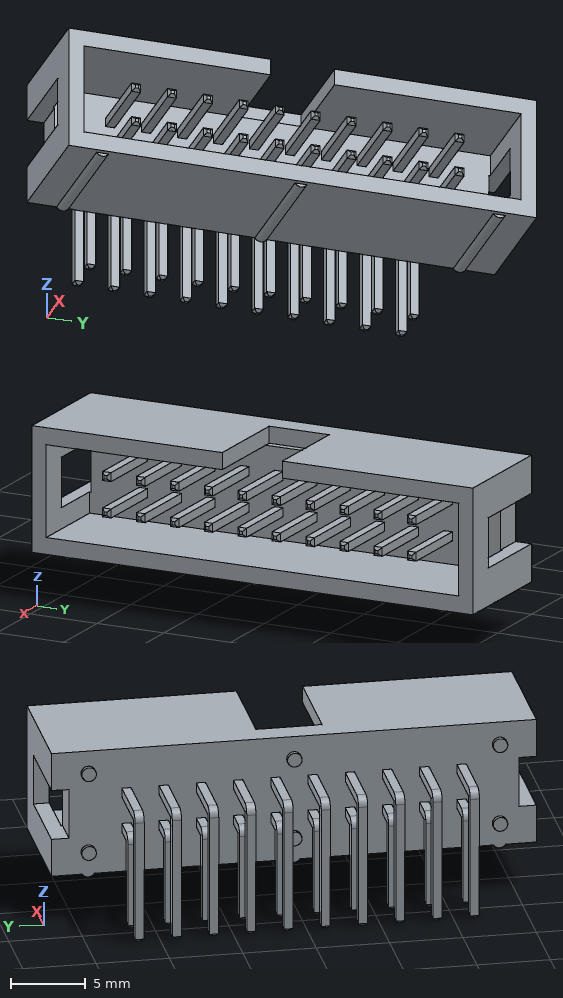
import cadquery as cq

total_depth = 13.55
total_length = 33.05
total_height = 12.1

housing_depth = 8.8
housing_height = 8.85
base_thickness = 2.3
side_wall = 1.2
end_wall = 1.1

end_slot_height = 3.5
end_slot_reach = 6.48
end_slot_depth = 1.2
key_slot_width = 4.5
key_slot_start = 1.8

pin_count = 10
row_span = 22.85
pitch = row_span / (pin_count - 1)
pin_size = 0.63
pin_bend_radius = 0.65
tip_chamfer = 0.2
pin_end_gap = 0.85

standoff_diameter = 1.0
standoff_height = 0.3
pad_offset_y = 14.02
pad_offset_z = 2.85
rib_length = 8.43
rib_drop = 0.23

housing_top = housing_height / 2
pin_bottom = housing_top - total_height
pin_back = housing_depth - total_depth
pin_front = housing_depth - pin_end_gap
pin_ys = [i * pitch - row_span / 2 for i in range(pin_count)]
standoff_ys = [-pad_offset_y, 0, pad_offset_y]


def block(x_min, x_max, y_size, z_min, z_max, y_centre=0):
    """Box given by its X and Z limits and its Y size and centre."""
    size = (x_max - x_min, y_size, z_max - z_min)
    centre = ((x_min + x_max) / 2, y_centre, (z_min + z_max) / 2)
    return cq.Workplane("XY").box(*size).translate(centre)


def make_housing():
    """Open-fronted shroud with a slot in each end and a keying slot on top."""
    body = block(0, housing_depth, total_length, -housing_top, housing_top)

    cavity_half = housing_top - side_wall
    cavity_length = total_length - 2 * end_wall
    body = body.cut(block(base_thickness, housing_depth, cavity_length, -cavity_half, cavity_half))

    slot_half = end_slot_height / 2
    for side in (-1, 1):
        slot_y = side * (total_length - end_slot_depth) / 2
        body = body.cut(block(0, end_slot_reach, end_slot_depth, -slot_half, slot_half, slot_y))

    return body.cut(block(key_slot_start, housing_depth, key_slot_width, cavity_half, housing_top))


def make_pin(y, z, tail_x):
    """Square right-angle pin: centred at height z, with the tail's rear face at tail_x."""
    top = z + pin_size / 2
    inner_x = tail_x + pin_size
    profile = (
        cq.Workplane("XZ", origin=(0, y + pin_size / 2, 0))
        .moveTo(tail_x, pin_bottom)
        .lineTo(tail_x, top - pin_bend_radius)
        .radiusArc((tail_x + pin_bend_radius, top), pin_bend_radius)
        .lineTo(pin_front, top)
        .lineTo(pin_front, top - pin_size)
        .lineTo(inner_x, top - pin_size)
        .lineTo(inner_x, pin_bottom)
        .close()
    )
    pin = profile.extrude(pin_size)
    return pin.faces(">X or <Z").chamfer(tip_chamfer)


def make_standoffs():
    """Round pads on the back face and partly sunk round ribs along the bottom."""
    radius = standoff_diameter / 2
    pad_points = [(y, z) for y in standoff_ys for z in (-pad_offset_z, pad_offset_z)]
    pads = (
        cq.Workplane("YZ", origin=(-standoff_height, 0, 0))
        .pushPoints(pad_points)
        .circle(radius)
        .extrude(standoff_height + base_thickness / 2)
    )
    rib_z = -housing_top - rib_drop + radius
    ribs = (
        cq.Workplane("YZ")
        .pushPoints([(y, rib_z) for y in standoff_ys])
        .circle(radius)
        .extrude(rib_length)
    )
    return pads.union(ribs)


result = make_housing().union(make_standoffs())
for pin_y in pin_ys:
    result = result.union(make_pin(pin_y, pitch / 2, pin_back))
    result = result.union(make_pin(pin_y, -pitch / 2, pin_back + pitch))